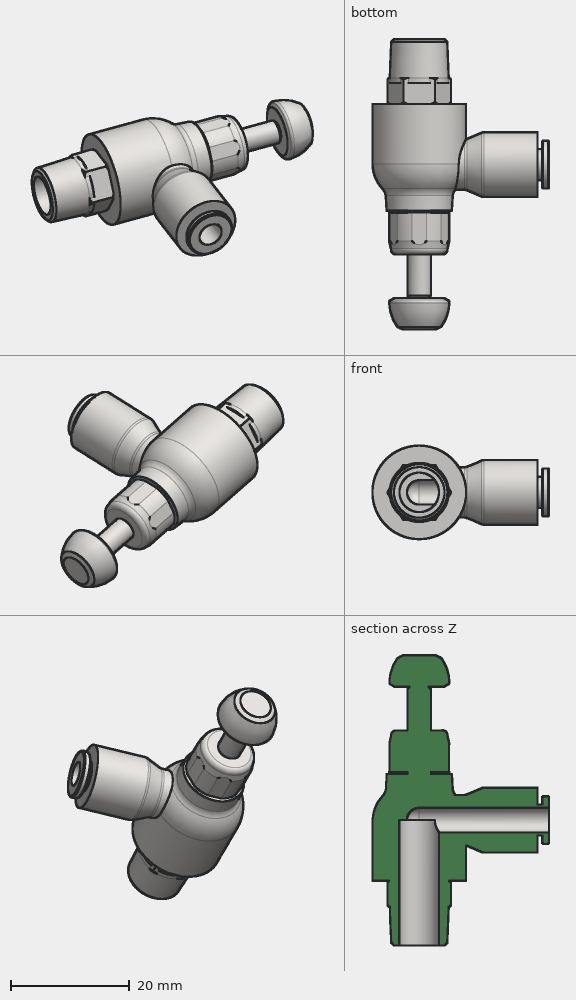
import cadquery as cq
import math


OVERALL_LENGTH = 49.0
OVERALL_WIDTH = 29.85
HEXAGON_SIDES = 6

KNOB_TOP_Y = 27.85
KNOB_SHOULDER_Y = 27.4
KNOB_RIM_Y = 23.3
KNOB_LIP_Y = 22.85
KNOB_BASE_Y = 22.5
KNOB_TOP_RADIUS = 2.75
KNOB_SHOULDER_RADIUS = 3.68
KNOB_RIM_RADIUS = 5.1
KNOB_LIP_RADIUS = 4.8
KNOB_BASE_RADIUS = 4.2
KNOB_BULGE = 0.35
KNOB_LIP_BULGE = 0.1
STEM_RADIUS = 2.0
STEM_CHAMFER = 0.4

NUT_TOP_Y = 15.2
NUT_TAPER_TOP_Y = 14.15
NUT_TAPER_BASE_Y = 12.9
NUT_BASE_Y = 8.1
NUT_RADIUS = 5.1
NUT_TAPER_RADIUS = 4.8
NUT_TOP_RADIUS = 3.9
NUT_FLAT_DISTANCE = 4.95

COLLAR_TOP_Y = 7.8
COLLAR_RIM_Y = 7.6
COLLAR_BASE_Y = 5.2
DOME_TOP_Y = 4.0
DOME_BASE_Y = -0.15
BODY_BASE_Y = -10.25
BODY_RADIUS = 7.915
COLLAR_TOP_RADIUS = 5.5
COLLAR_RIM_RADIUS = 5.55
COLLAR_BASE_RADIUS = 5.7
DOME_TOP_RADIUS = 6.25
FLARE_SAG = 0.1

HEX_END_Y = -14.65
HEX_ACROSS_FLATS = 9.3
HEX_CHAMFER = 0.3
THREAD_TOP_Y = -13.75
THREAD_CHAMFER_Y = -20.75
THREAD_END_Y = KNOB_TOP_Y - OVERALL_LENGTH
THREAD_TOP_RADIUS = 5.0
THREAD_CHAMFER_RADIUS = 4.75
THREAD_END_RADIUS = 4.25

NECK_RADIUS = 4.25
BRANCH_RADIUS = 5.5
CONE_START_X = 7.85
CONE_END_X = 10.75
CONE_BLEND_RADIUS = 1.0
BLEND_SLAB_HALF_WIDTH = 0.5
BRANCH_END_X = 20.0
COLLET_NECK_RADIUS = 2.65
COLLET_RADIUS = 4.05
COLLET_START_X = 20.75
COLLET_END_X = OVERALL_WIDTH - BODY_RADIUS
COLLET_CHAMFER = 0.2

BORE_RADIUS = 3.35
CHANNEL_RADIUS = 2.05


def bulged_midpoint(start, end, bulge):
    """Middle of the chord, pushed to the left of its direction by the bulge."""
    dx = end[0] - start[0]
    dy = end[1] - start[1]
    length = math.hypot(dx, dy)
    return (
        (start[0] + end[0]) / 2 - bulge * dy / length,
        (start[1] + end[1]) / 2 + bulge * dx / length,
    )


def revolve_about_y(profile):
    return profile.close().revolve(360, (0, 0), (0, 1))


def y_cylinder(radius, y_start, y_end):
    return cq.Workplane("XZ", origin=(0, y_start, 0)).circle(radius).extrude(y_start - y_end)


def corner_diameter(across_flats):
    """Corner-to-corner size of a hexagon."""
    return across_flats / math.cos(math.pi / HEXAGON_SIDES)


def make_knob():
    shoulder = (KNOB_SHOULDER_RADIUS, KNOB_SHOULDER_Y)
    rim = (KNOB_RIM_RADIUS, KNOB_RIM_Y)
    lip = (KNOB_LIP_RADIUS, KNOB_LIP_Y)
    return revolve_about_y(
        cq.Workplane("XY")
        .moveTo(0, KNOB_TOP_Y)
        .lineTo(KNOB_TOP_RADIUS, KNOB_TOP_Y)
        .lineTo(*shoulder)
        .threePointArc(bulged_midpoint(shoulder, rim, KNOB_BULGE), rim)
        .threePointArc(bulged_midpoint(rim, lip, KNOB_LIP_BULGE), lip)
        .lineTo(KNOB_BASE_RADIUS, KNOB_BASE_Y)
        .lineTo(0, KNOB_BASE_Y)
    )


def make_stem():
    shoulder_y = KNOB_BASE_Y - STEM_CHAMFER
    return revolve_about_y(
        cq.Workplane("XY")
        .moveTo(0, KNOB_BASE_Y)
        .lineTo(STEM_RADIUS - STEM_CHAMFER, KNOB_BASE_Y)
        .lineTo(STEM_RADIUS, shoulder_y)
        .lineTo(STEM_RADIUS, COLLAR_TOP_Y)
        .lineTo(0, COLLAR_TOP_Y)
    )


def make_nut():
    taper_top = (NUT_TAPER_RADIUS, NUT_TAPER_TOP_Y)
    top_edge = (NUT_TOP_RADIUS, NUT_TOP_Y)
    round_bulge = math.dist(taper_top, top_edge) * math.tan(math.pi / 8) / 2
    nut = revolve_about_y(
        cq.Workplane("XY")
        .moveTo(0, NUT_TOP_Y)
        .lineTo(*top_edge)
        .threePointArc(bulged_midpoint(top_edge, taper_top, round_bulge), taper_top)
        .lineTo(NUT_RADIUS, NUT_TAPER_BASE_Y)
        .lineTo(NUT_RADIUS, NUT_BASE_Y)
        .lineTo(0, NUT_BASE_Y)
    )
    grip = (
        cq.Workplane("XZ", origin=(0, NUT_BASE_Y, 0))
        .polygon(HEXAGON_SIDES, corner_diameter(2 * NUT_FLAT_DISTANCE))
        .extrude(NUT_BASE_Y - NUT_TOP_Y)
    )
    return nut.intersect(grip)


def make_body():
    collar_base = (COLLAR_BASE_RADIUS, COLLAR_BASE_Y)
    dome_top = (DOME_TOP_RADIUS, DOME_TOP_Y)
    return revolve_about_y(
        cq.Workplane("XY")
        .moveTo(0, COLLAR_TOP_Y)
        .lineTo(COLLAR_TOP_RADIUS, COLLAR_TOP_Y)
        .lineTo(COLLAR_RIM_RADIUS, COLLAR_RIM_Y)
        .lineTo(*collar_base)
        .threePointArc(bulged_midpoint(collar_base, dome_top, -FLARE_SAG), dome_top)
        .threePointArc(dome_midpoint(), (BODY_RADIUS, DOME_BASE_Y))
        .lineTo(BODY_RADIUS, BODY_BASE_Y)
        .lineTo(0, BODY_BASE_Y)
    )


def dome_midpoint():
    """Middle of the dome arc, which runs tangent into the cylinder below it."""
    rise = DOME_TOP_Y - DOME_BASE_Y
    inset = BODY_RADIUS - DOME_TOP_RADIUS
    radius = (rise**2 + inset**2) / (2 * inset)
    half_angle = math.asin(rise / radius) / 2
    return (
        BODY_RADIUS - radius * (1 - math.cos(half_angle)),
        DOME_BASE_Y + radius * math.sin(half_angle),
    )


def make_hexagon():
    hexagon = (
        cq.Workplane("XZ", origin=(0, BODY_BASE_Y, 0))
        .polygon(HEXAGON_SIDES, corner_diameter(HEX_ACROSS_FLATS))
        .extrude(BODY_BASE_Y - HEX_END_Y)
    )
    corner_radius = corner_diameter(HEX_ACROSS_FLATS) / 2
    envelope = y_cylinder(corner_radius, BODY_BASE_Y, HEX_END_Y).edges("%CIRCLE").chamfer(HEX_CHAMFER)
    return hexagon.intersect(envelope)


def make_thread():
    return revolve_about_y(
        cq.Workplane("XY")
        .moveTo(0, THREAD_TOP_Y)
        .lineTo(THREAD_TOP_RADIUS, THREAD_TOP_Y)
        .lineTo(THREAD_TOP_RADIUS, HEX_END_Y)
        .lineTo(THREAD_CHAMFER_RADIUS, THREAD_CHAMFER_Y)
        .lineTo(THREAD_END_RADIUS, THREAD_END_Y)
        .lineTo(0, THREAD_END_Y)
    )


def make_branch():
    sleeve = (
        cq.Workplane("XY")
        .moveTo(0, 0)
        .lineTo(0, NECK_RADIUS)
        .lineTo(CONE_START_X, NECK_RADIUS)
        .lineTo(CONE_END_X, BRANCH_RADIUS)
        .lineTo(BRANCH_END_X, BRANCH_RADIUS)
        .lineTo(BRANCH_END_X, 0)
        .close()
        .revolve(360, (0, 0), (1, 0))
    )
    for blend_x in (CONE_START_X, CONE_END_X):
        blend_edge = cq.selectors.BoxSelector(
            (blend_x - BLEND_SLAB_HALF_WIDTH, -BRANCH_RADIUS, -BRANCH_RADIUS),
            (blend_x + BLEND_SLAB_HALF_WIDTH, BRANCH_RADIUS, BRANCH_RADIUS),
        )
        sleeve = sleeve.edges(blend_edge).edges("%CIRCLE").fillet(CONE_BLEND_RADIUS)
    collet_neck = cq.Workplane("YZ").circle(COLLET_NECK_RADIUS).extrude(COLLET_END_X)
    collet_ring = (
        cq.Workplane("YZ", origin=(COLLET_START_X, 0, 0))
        .circle(COLLET_RADIUS)
        .extrude(COLLET_END_X - COLLET_START_X)
        .edges("%CIRCLE")
        .chamfer(COLLET_CHAMFER)
    )
    return sleeve.union(collet_neck).union(collet_ring)


def make_passage():
    """Bore up the thread to the branch axis, then a round-ended channel out along +X."""
    bore = y_cylinder(BORE_RADIUS, 0, THREAD_END_Y)
    channel = cq.Workplane("YZ").circle(CHANNEL_RADIUS).extrude(COLLET_END_X)
    return bore.union(channel).union(cq.Workplane("XY").sphere(CHANNEL_RADIUS))


result = (
    make_body()
    .union(make_branch())
    .union(make_stem())
    .union(make_knob())
    .union(make_nut())
    .union(make_hexagon())
    .union(make_thread())
    .cut(make_passage())
)